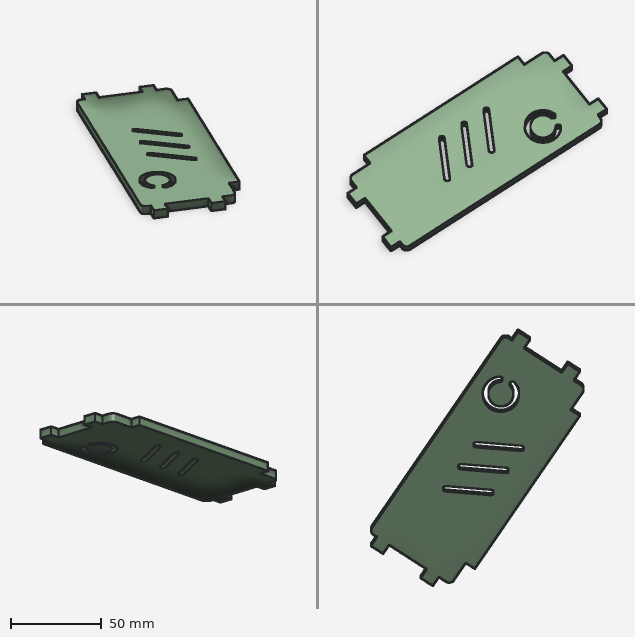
import cadquery as cq
import math

overall_length = 146.0
overall_width = 60.0
thickness = 5.0
tab_projection = 6.0
corner_radius = 3.0
body_length = overall_length - 2 * tab_projection
body_width = overall_width - tab_projection

rear_tab_length = 104.2
side_tab_width = 8.0
side_tab_starts = (5.3, 38.1)

cut_width = 3.0
slot_count = 3
slot_pitch = 15.0
slot_run = 12.0
slot_rise = 21.8
first_slot_start = (-23.2, 21.6)
ring_center = (38.3, 17.1)
ring_radius = 8.5
ring_start_angle = 14.0
ring_end_angle = 322.0


def block(length, width, x_center, y_front):
    """Full-thickness block centered on x_center, extending back from y_front."""
    return (
        cq.Workplane("XY")
        .box(length, width, thickness, centered=(True, False, False))
        .translate((x_center, y_front, 0))
    )


def make_plate():
    plate = block(body_length, body_width, 0, 0).edges("|Z").fillet(corner_radius)
    plate = plate.union(block(rear_tab_length, overall_width, 0, 0))
    for start in side_tab_starts:
        plate = plate.union(block(overall_length, side_tab_width, 0, start))
    return plate


def make_slot(index):
    """Slanted round-ended slot."""
    x_center = first_slot_start[0] + index * slot_pitch + slot_run / 2
    y_center = first_slot_start[1] + slot_rise / 2
    slot_length = math.hypot(slot_run, slot_rise) + cut_width
    slot_angle = math.degrees(math.atan2(slot_rise, slot_run))
    return (
        cq.Workplane("XY")
        .center(x_center, y_center)
        .slot2D(slot_length, cut_width, slot_angle)
        .extrude(thickness)
    )


def ring_point(radius, angle):
    """Point on a circle around the ring center, angle in degrees."""
    turn = math.radians(angle)
    return (
        ring_center[0] + radius * math.cos(turn),
        ring_center[1] + radius * math.sin(turn),
    )


def make_ring_cut():
    """C-shaped groove with round ends, leaving a disc joined by a neck."""
    inner = ring_radius - cut_width / 2
    outer = ring_radius + cut_width / 2
    middle_angle = (ring_start_angle + ring_end_angle) / 2
    groove = (
        cq.Workplane("XY")
        .moveTo(*ring_point(outer, ring_start_angle))
        .threePointArc(ring_point(outer, middle_angle), ring_point(outer, ring_end_angle))
        .lineTo(*ring_point(inner, ring_end_angle))
        .threePointArc(ring_point(inner, middle_angle), ring_point(inner, ring_start_angle))
        .close()
        .extrude(thickness)
    )
    for angle in (ring_start_angle, ring_end_angle):
        end = cq.Workplane("XY").center(*ring_point(ring_radius, angle))
        groove = groove.union(end.circle(cut_width / 2).extrude(thickness))
    return groove


result = make_plate()
for slot_index in range(slot_count):
    result = result.cut(make_slot(slot_index))
result = result.cut(make_ring_cut()).clean()